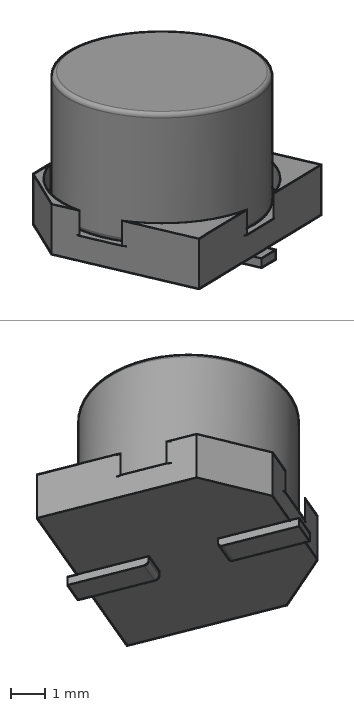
import cadquery as cq

overall_length = 7.4
lead_length = 2.6
lead_width = 0.8
lead_thickness = 0.3
lead_end_radius = 0.15

base_side = 6.8
base_height = 1.6
corner_chamfer = 1.7
recess_diameter = 6.955
recess_depth = 0.8

overall_height = 5.3
can_diameter = 6.5
can_edge_radius = 0.15

base_top = lead_thickness + base_height
recess_floor = base_top - recess_depth
can_height = overall_height - recess_floor


def make_base():
    """Square base with two chamfered corners on the -X side and a round recess."""
    block = (
        cq.Workplane("XY", origin=(0, 0, lead_thickness))
        .rect(base_side, base_side)
        .extrude(base_height)
        .edges("|Z and <X")
        .chamfer(corner_chamfer)
    )
    recess = (
        cq.Workplane("XY", origin=(0, 0, recess_floor))
        .circle(recess_diameter / 2)
        .extrude(recess_depth)
    )
    return block.cut(recess)


def make_can():
    """Cylindrical can with rounded top and bottom rims."""
    return (
        cq.Workplane("XY", origin=(0, 0, recess_floor))
        .circle(can_diameter / 2)
        .extrude(can_height)
        .edges()
        .fillet(can_edge_radius)
    )


def make_lead(turn):
    """Flat lead under the base, turned about Z; its lower inner edge is rounded."""
    return (
        cq.Workplane("XY")
        .box(lead_length, lead_width, lead_thickness, centered=(False, True, False))
        .translate((overall_length / 2 - lead_length, 0, 0))
        .edges("<X and <Z")
        .fillet(lead_end_radius)
        .rotate((0, 0, 0), (0, 0, 1), turn)
    )


base = make_base()
can = make_can()
leads = [make_lead(turn) for turn in (0, 180)]

result = cq.Compound.makeCompound([base.val(), can.val(), *[lead.val() for lead in leads]])